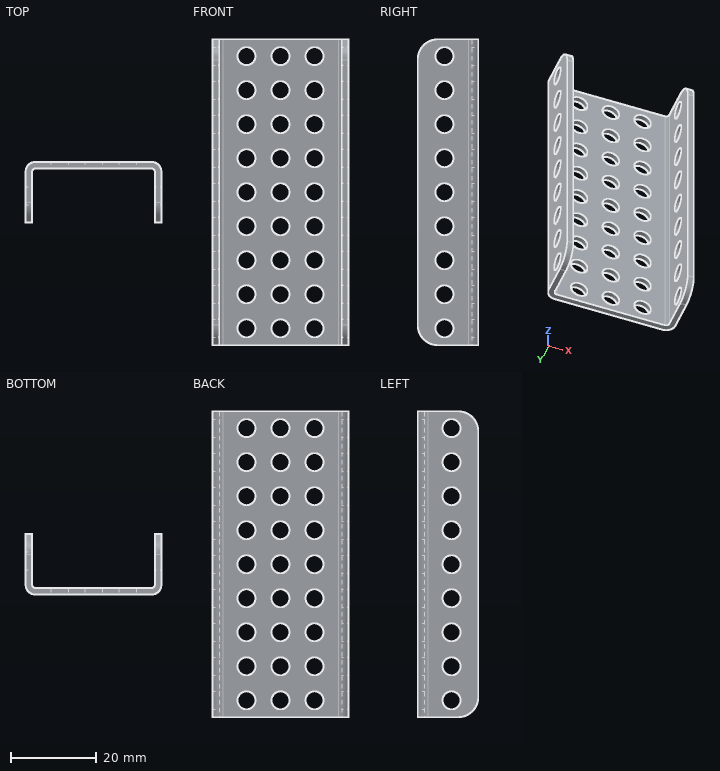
import cadquery as cq

length = 72.0
hole_rows = 9
web_columns = 3
depth = 14.3
thickness = 1.6
bend_inner_radius = 0.8
hole_diameter = 4.2
corner_radius = 4.8

pitch = length / hole_rows
width = (web_columns + 1) * pitch
bend_outer_radius = bend_inner_radius + thickness
web_outer_y = depth / 2
flange_hole_y = web_outer_y - pitch


def channel():
    """U-section open toward -Y, with rounded bends, centred on the origin."""
    outer = (
        cq.Workplane("XY")
        .box(width, depth, length)
        .edges("|Z and >Y")
        .fillet(bend_outer_radius)
    )
    inner = (
        cq.Workplane("XY")
        .box(width - 2 * thickness, depth, length)
        .edges("|Z and >Y")
        .fillet(bend_inner_radius)
        .translate((0, -thickness, 0))
    )
    return outer.cut(inner)


def round_flange_tips(body):
    """Round the free corners at both ends of each flange."""
    return body.edges("|X and <Y").edges("<Z or >Z").fillet(corner_radius)


def web_holes():
    """Grid of round holes through the web, drilled along Y."""
    return (
        cq.Workplane("XZ", origin=(0, web_outer_y, 0))
        .rarray(pitch, pitch, web_columns, hole_rows)
        .circle(hole_diameter / 2)
        .extrude(thickness)
    )


def flange_holes():
    """Row of round holes through both flanges, drilled along X."""
    return (
        cq.Workplane("YZ")
        .center(flange_hole_y, 0)
        .rarray(pitch, pitch, 1, hole_rows)
        .circle(hole_diameter / 2)
        .extrude(width / 2, both=True)
    )


result = round_flange_tips(channel()).cut(web_holes()).cut(flange_holes())